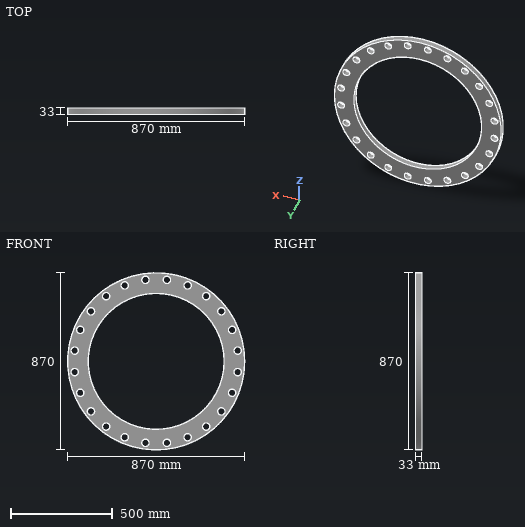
import cadquery as cq

outer_diameter = 870.0
bore_diameter = 665.5
thickness = 33.0

bolt_circle_diameter = 806.5
bolt_hole_diameter = 35.0
bolt_hole_count = 24
first_hole_angle = 360 / bolt_hole_count / 2

ring = (
    cq.Workplane("XZ")
    .circle(outer_diameter / 2)
    .circle(bore_diameter / 2)
    .extrude(thickness)
)

bolt_holes = (
    cq.Workplane("XZ")
    .polarArray(bolt_circle_diameter / 2, first_hole_angle, 360, bolt_hole_count)
    .circle(bolt_hole_diameter / 2)
    .extrude(thickness)
)

result = ring.cut(bolt_holes)